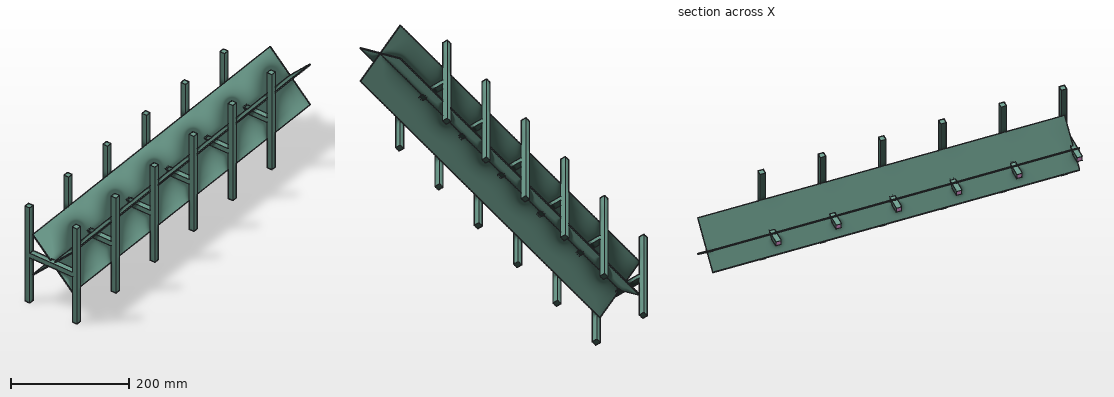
import cadquery as cq

frame_count = 6
frame_pitch = 110.0
bar_size = 10.0
frame_width = 110.0
post_height = 200.0

plate_width = 120.0
plate_thickness = 2.0
plate_length = 670.0
plate_angle = 45.0

post_offset = (frame_width - bar_size) / 2


def h_frame(y):
    """Two upright posts joined at mid height by a crossbar."""
    frame = cq.Workplane("XY").box(frame_width, bar_size, bar_size)
    for x in (-post_offset, post_offset):
        post = cq.Workplane("XY").box(bar_size, bar_size, post_height)
        frame = frame.union(post.translate((x, 0, 0)))
    return frame.translate((0, y, 0))


def plate(angle):
    """Flat plate starting at Y = 0, turned about the Y axis."""
    flat = cq.Workplane("XY").box(plate_width, plate_length, plate_thickness)
    turned = flat.rotate((0, 0, 0), (0, 1, 0), angle)
    return turned.translate((0, plate_length / 2, 0))


result = plate(plate_angle).union(plate(-plate_angle))
for index in range(frame_count):
    result = result.union(h_frame(index * frame_pitch))